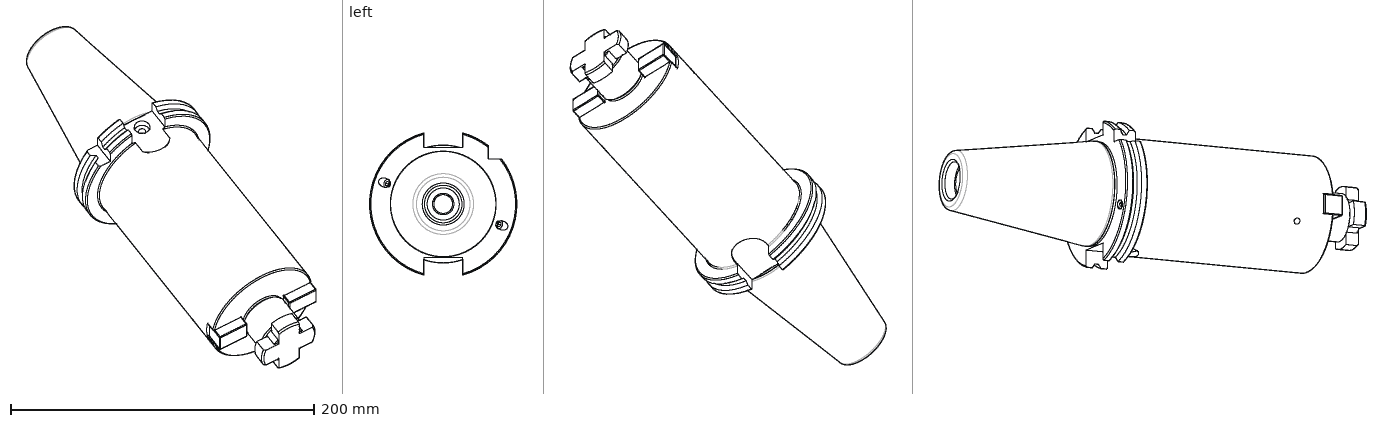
import cadquery as cq
import math

total_length = 294.8
taper_length = 101.7
gauge_land = 3.2
flange_width = 16.0
flange_front = taper_length + gauge_land
flange_rear = flange_front + flange_width
body_end = 261.7
pilot_end = 284.5
lug_back = 285.3

taper_small_radius = 20.0
taper_large_radius = 70.0 / 2
taper_edge_radius = 2.5
flange_radius = 48.5
flange_chamfer = 1.0
body_radius = 39.0
body_end_chamfer = 1.0
body_root_fillet = 1.0
pilot_radius = 32.0 / 2
pilot_undercut_length = 2.5
pilot_undercut_depth = 1.0
land_groove_width = 1.8
land_groove_depth = 0.3

groove_center = flange_front + 8.0
groove_mouth = 6.5
groove_floor = 2.7
groove_depth = 2.7

bore_mouth_radius = 14.0
bore_radius = 12.5
bore_depth = 8.5
thread_radius = 10.5
thread_depth = 47.2
screw_hole_radius = 7.0
drill_point_angle = 59.0

slot_width = 25.5
slot_center = flange_front + 18.3
top_slot_height = 37.5
bottom_slot_height = 35.5
notch_offset = 29.8

chip_hole_radius = 10.3 / 2
chip_hole_depth = 4.7
chip_pilot_radius = 2.5
chip_pilot_depth = 4.5

side_angle = 20.0
set_screw_slope = 42.0
set_screw_circle = 41.3
set_screw_radius = 3.0
set_screw_length = 6.0
set_screw_recess = 3.0
socket_across_corners = 3.2
socket_depth = 3.0
side_hole_x = 235.8
side_hole_radius = 2.0
side_hole_depth = 8.8

key_width = 13.5
key_depth = 7.5
key_height = 7.0
key_inner = pilot_radius + 0.3
key_outer = 37.7
key_chamfer = 0.5
key_back_chamfer = 1.2

head_radius = 21.0
hub_radius = 13.5
lug_width = 16.0
head_chamfer = 1.2
shank_length = 41.3
shank_chamfer = 1.0


def cylinder(start, direction, radius, length):
    return cq.Workplane(cq.Solid.makeCylinder(radius, length, cq.Vector(*start), cq.Vector(*direction)))


def x_rod(start, end, radius):
    return revolved([(start, 0), (start, radius), (end, radius), (end, 0)])


def drilled(start, direction, radius, depth):
    """Blind hole with a drill point beyond its full depth."""
    axis = cq.Vector(*direction)
    tip = cq.Vector(*start) + axis * depth
    point_length = radius / math.tan(math.radians(drill_point_angle))
    point = cq.Workplane(cq.Solid.makeCone(radius, 0, point_length, tip, axis))
    return cylinder(start, direction, radius, depth).union(point)


def revolved(points):
    return cq.Workplane("XZ").polyline(points).close().revolve(360, (0, 0, 0), (1, 0, 0))


def turned_half(shape):
    return shape.rotate((0, 0, 0), (1, 0, 0), 180)


def holder_blank():
    groove_bottom = flange_radius - groove_depth
    edge = taper_edge_radius
    edge_mid = edge * (1 - math.sqrt(0.5))
    root = body_root_fillet
    root_mid = root * (1 - math.sqrt(0.5))
    undercut_end = body_end + pilot_undercut_length
    land_groove_start = flange_front - land_groove_width
    outline = (
        cq.Workplane("XZ")
        .moveTo(0, 0)
        .lineTo(0, taper_small_radius - edge)
        .threePointArc((edge_mid, taper_small_radius - edge_mid), (edge, taper_small_radius))
        .lineTo(taper_length, taper_large_radius)
        .lineTo(land_groove_start, taper_large_radius)
        .lineTo(land_groove_start, taper_large_radius - land_groove_depth)
        .lineTo(flange_front, taper_large_radius - land_groove_depth)
        .lineTo(flange_front, flange_radius - flange_chamfer)
        .lineTo(flange_front + flange_chamfer, flange_radius)
        .lineTo(groove_center - groove_mouth / 2, flange_radius)
        .lineTo(groove_center - groove_floor / 2, groove_bottom)
        .lineTo(groove_center + groove_floor / 2, groove_bottom)
        .lineTo(groove_center + groove_mouth / 2, flange_radius)
        .lineTo(flange_rear - flange_chamfer, flange_radius)
        .lineTo(flange_rear, flange_radius - flange_chamfer)
        .lineTo(flange_rear, body_radius + root)
        .threePointArc((flange_rear + root_mid, body_radius + root_mid), (flange_rear + root, body_radius))
        .lineTo(body_end - body_end_chamfer, body_radius)
        .lineTo(body_end, body_radius - body_end_chamfer)
        .lineTo(body_end, pilot_radius - pilot_undercut_depth)
        .lineTo(undercut_end - pilot_undercut_depth, pilot_radius - pilot_undercut_depth)
        .lineTo(undercut_end, pilot_radius)
        .lineTo(pilot_end, pilot_radius)
        .lineTo(pilot_end, 0)
        .close()
    )
    return outline.revolve(360, (0, 0, 0), (1, 0, 0))


def bore():
    mouth_chamfer = bore_mouth_radius - bore_radius
    cone_length = (thread_radius - screw_hole_radius) / math.tan(math.radians(drill_point_angle))
    return revolved([
        (0, 0),
        (0, bore_mouth_radius),
        (mouth_chamfer, bore_radius),
        (bore_depth, bore_radius),
        (bore_depth, thread_radius),
        (thread_depth, thread_radius),
        (thread_depth + cone_length, screw_hole_radius),
        (pilot_end, screw_hole_radius),
        (pilot_end, 0),
    ])


def drive_slot(height):
    slot_depth = flange_radius - height
    straight = (
        cq.Workplane("XY", origin=(0, 0, height))
        .moveTo((flange_front + slot_center) / 2, 0)
        .rect(slot_center - flange_front, slot_width)
        .extrude(slot_depth)
    )
    round_end = cylinder((slot_center, 0, height), (0, 0, 1), slot_width / 2, slot_depth)
    return straight.union(round_end)


def corner_notch():
    size = flange_radius
    return cq.Workplane("XY").box(flange_width, size, size, centered=False).translate(
        (flange_front, -notch_offset - size, notch_offset)
    )


def chip_hole():
    floor = top_slot_height - chip_hole_depth
    wide = cylinder((groove_center, 0, floor), (0, 0, 1), chip_hole_radius, chip_hole_depth)
    narrow = drilled((groove_center, 0, floor), (0, 0, -1), chip_pilot_radius, chip_pilot_depth)
    return wide.union(narrow)


def on_both_sides(shape):
    """Swing a shape from the XY plane to its place on the +Y side and add its opposite."""
    first = shape.rotate((0, 0, 0), (1, 0, 0), side_angle)
    return [first, turned_half(first)]


def set_screw_rod(start, end, radius):
    """Rod along the sloping hole; distances run inward from the flange face."""
    slope = math.radians(set_screw_slope)
    step_x = math.cos(slope)
    step_y = -math.sin(slope)
    origin = (flange_front + start * step_x, set_screw_circle + start * step_y, 0)
    return cylinder(origin, (step_x, step_y, 0), radius, end - start)


def set_screw_holes():
    end = set_screw_recess + set_screw_length
    return on_both_sides(set_screw_rod(-set_screw_recess, end, set_screw_radius))


def side_holes():
    start = (side_hole_x, body_radius, 0)
    return on_both_sides(drilled(start, (0, -1, 0), side_hole_radius, side_hole_depth))


def key_seat():
    width = body_radius - key_inner
    return cq.Workplane("XY").box(key_depth, width, key_width, centered=(False, False, True)).translate(
        (body_end - key_depth, key_inner, 0)
    )


def make_holder():
    body = holder_blank().cut(bore())
    body = body.cut(drive_slot(top_slot_height)).cut(turned_half(drive_slot(bottom_slot_height)))
    body = body.cut(corner_notch()).cut(chip_hole())
    for hole in set_screw_holes() + side_holes():
        body = body.cut(hole)
    for seat in (key_seat(), turned_half(key_seat())):
        body = body.cut(seat)
    return body


def make_drive_key():
    back = body_end - key_depth
    front = body_end + key_height
    return (
        cq.Workplane("XY")
        .moveTo(back, key_inner)
        .lineTo(front, key_inner)
        .lineTo(front, key_outer)
        .lineTo(back + key_back_chamfer, key_outer)
        .lineTo(back, key_outer - key_back_chamfer)
        .close()
        .extrude(key_width / 2, both=True)
        .edges()
        .chamfer(key_chamfer)
    )


def make_retaining_screw():
    head = x_rod(lug_back, total_length, head_radius).faces(">X").chamfer(head_chamfer)
    lug_length = total_length - lug_back
    cross = cq.Workplane("YZ", origin=(lug_back, 0, 0)).rect(2 * head_radius, lug_width).extrude(lug_length)
    cross = cross.union(cross.rotate((0, 0, 0), (1, 0, 0), 90))
    hub = x_rod(pilot_end, total_length - head_chamfer, hub_radius)
    shank = x_rod(pilot_end - shank_length, pilot_end, screw_hole_radius).faces("<X").chamfer(shank_chamfer)
    return head.intersect(cross).union(hub).union(shank)


def make_set_screw():
    top = set_screw_recess
    screw = set_screw_rod(top, top + set_screw_length, set_screw_radius)
    socket = (
        cq.Workplane("YZ")
        .polygon(6, socket_across_corners)
        .extrude(socket_depth)
        .rotate((0, 0, 0), (0, 0, 1), -set_screw_slope)
    )
    slope = math.radians(set_screw_slope)
    socket = socket.translate(
        (flange_front + top * math.cos(slope), set_screw_circle - top * math.sin(slope), 0)
    )
    return screw.cut(socket)


holder = make_holder()
retaining_screw = make_retaining_screw()
drive_keys = [make_drive_key(), turned_half(make_drive_key())]
set_screws = on_both_sides(make_set_screw())

bodies = [holder, retaining_screw, *drive_keys, *set_screws]
result = cq.Compound.makeCompound([body.solids().val() for body in bodies])